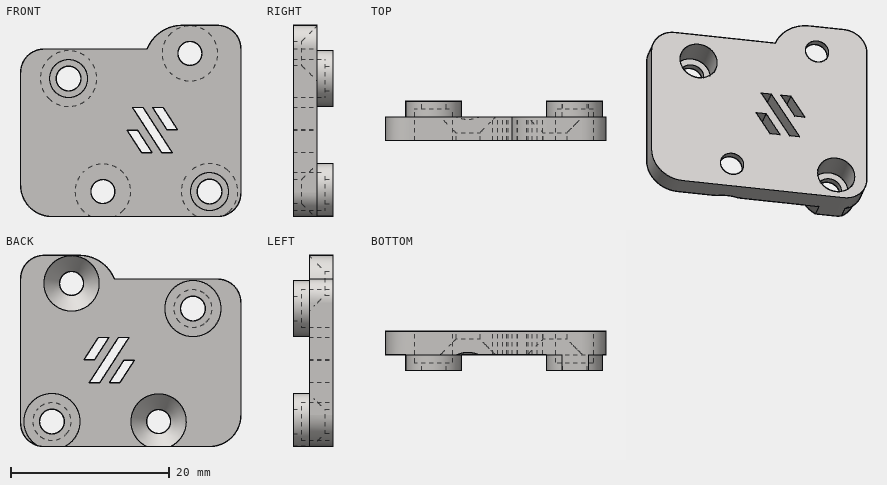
import cadquery as cq
import math

width = 27.88
height = 24.21
plate_thickness = 3.0
shoulder_drop = 3.0
shoulder_height = height - shoulder_drop
corner_radius = 3.0
lower_left_radius = 4.0
tab_radius = 4.8
tab_arc_center_x = 20.45

boss_diameter = 7.1
boss_height = 2.0
screw_hole_diameter = 3.1
head_diameter = 4.8
head_depth = 4.0
upper_screw = (6.08, 17.46)
screw_spacing_x = 17.82
screw_spacing_z = 14.28
lower_screw = (upper_screw[0] + screw_spacing_x, upper_screw[1] - screw_spacing_z)
screw_centers = [upper_screw, lower_screw]
total_depth = plate_thickness + boss_height

plain_hole_diameter = 3.0
countersink_diameter = 7.0
countersink_angle = 90.0
lower_plain_hole = (10.42, lower_screw[1])
upper_plain_hole = (21.42, 20.64)
plain_hole_centers = [lower_plain_hole, upper_plain_hole]

slot_width = 1.31
slot_spacing = 2.54
slot_slope = 0.645
long_slot_height = 5.7
short_slot_height = 2.8
slot_top = 13.8
slot_bottom = slot_top - long_slot_height
long_slot_left = 14.18


def front_plane(y=0.0):
    """Sketch plane at depth y; positive extrusion runs toward -Y."""
    return cq.Workplane("XZ", origin=(0, y, 0))


def make_outline(depth):
    """Plate outline extruded from Y = 0 back to Y = depth."""
    corner_inset = corner_radius * (1 - math.sqrt(0.5))
    lower_left_inset = lower_left_radius * (1 - math.sqrt(0.5))
    arc_center_z = height - tab_radius
    arc_rise = shoulder_height - arc_center_z
    arc_start_angle = math.acos(arc_rise / tab_radius)
    arc_start_x = tab_arc_center_x - tab_radius * math.sin(arc_start_angle)
    arc_mid = (
        tab_arc_center_x - tab_radius * math.sin(arc_start_angle / 2),
        arc_center_z + tab_radius * math.cos(arc_start_angle / 2),
    )
    return (
        front_plane()
        .moveTo(lower_left_radius, 0)
        .lineTo(width - corner_radius, 0)
        .threePointArc((width - corner_inset, corner_inset), (width, corner_radius))
        .lineTo(width, height - corner_radius)
        .threePointArc((width - corner_inset, height - corner_inset), (width - corner_radius, height))
        .lineTo(tab_arc_center_x, height)
        .threePointArc(arc_mid, (arc_start_x, shoulder_height))
        .lineTo(corner_radius, shoulder_height)
        .threePointArc((corner_inset, shoulder_height - corner_inset), (0, shoulder_height - corner_radius))
        .lineTo(0, lower_left_radius)
        .threePointArc((lower_left_inset, lower_left_inset), (lower_left_radius, 0))
        .close()
        .extrude(-depth)
    )


def make_cylinders(centers, diameter, depth):
    """Cylinders along Y from Y = 0 back to Y = depth."""
    return front_plane().pushPoints(centers).circle(diameter / 2).extrude(-depth)


def make_bosses():
    """Bosses cut off where they would overhang the plate outline."""
    bosses = make_cylinders(screw_centers, boss_diameter, total_depth)
    return bosses.intersect(make_outline(total_depth))


def make_countersinks():
    """Cones that narrow from the back face of the plate to the plain holes."""
    widening = (countersink_diameter - plain_hole_diameter) / 2
    depth = widening / math.tan(math.radians(countersink_angle / 2))
    return (
        front_plane(plate_thickness)
        .pushPoints(plain_hole_centers)
        .circle(countersink_diameter / 2)
        .extrude(depth, taper=countersink_angle / 2)
    )


def make_slot(column, top, slot_height):
    """Parallelogram slot; column counts slots to the right of the long one."""
    left = long_slot_left + column * slot_spacing + (slot_top - top) * slot_slope
    run = slot_height * slot_slope
    corners = [
        (left, top),
        (left + slot_width, top),
        (left + slot_width + run, top - slot_height),
        (left + run, top - slot_height),
    ]
    return front_plane().polyline(corners).close().extrude(-plate_thickness)


result = make_outline(plate_thickness).union(make_bosses())
result = result.cut(make_cylinders(screw_centers, screw_hole_diameter, total_depth))
result = result.cut(make_cylinders(screw_centers, head_diameter, head_depth))
result = result.cut(make_cylinders(plain_hole_centers, plain_hole_diameter, plate_thickness))
result = result.cut(make_countersinks())
result = result.cut(make_slot(0, slot_top, long_slot_height))
result = result.cut(make_slot(1, slot_top, short_slot_height))
result = result.cut(make_slot(-1, slot_bottom + short_slot_height, short_slot_height))